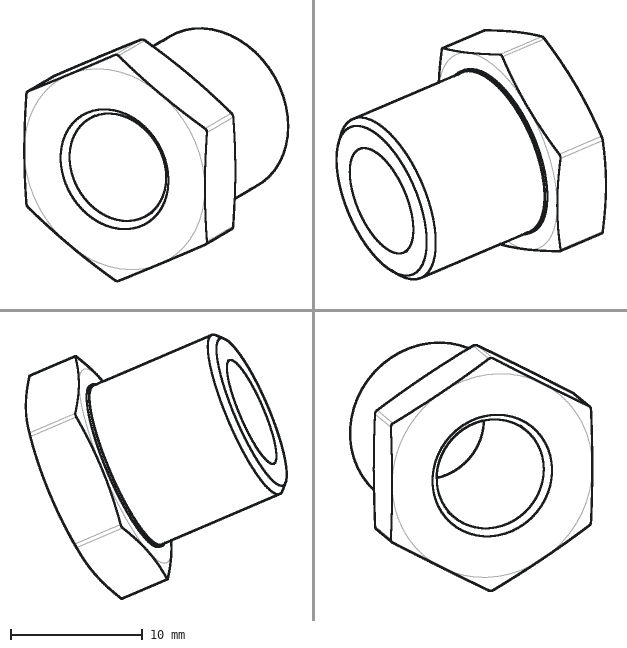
import cadquery as cq
import math

across_flats = 16.0
across_corners = 18.38
head_length = 4.5
head_chamfer_angle = 15.0

collar_diameter = 13.36
collar_length = 0.2
shank_diameter = 13.16
total_length = 15.2
end_chamfer = 0.5

bore_diameter = 8.57
bore_chamfer = 0.5

sharp_corners = across_flats / math.cos(math.radians(30))
corner_trim = (sharp_corners - across_corners) / 2
corner_radius = corner_trim / (1 / math.cos(math.radians(30)) - 1)


def make_head():
    """Hexagon along Y with corners up and down, both ends turned to a shallow cone."""
    prism = (
        cq.Workplane("XZ")
        .transformed(rotate=(0, 0, 90))
        .polygon(6, sharp_corners)
        .extrude(-head_length)
        .edges("|Y")
        .fillet(corner_radius)
    )
    face_radius = across_flats / 2
    rim_radius = sharp_corners / 2
    rim_setback = (rim_radius - face_radius) * math.tan(math.radians(head_chamfer_angle))
    turned_envelope = (
        cq.Workplane("XY")
        .moveTo(0, 0)
        .lineTo(face_radius, 0)
        .lineTo(rim_radius, rim_setback)
        .lineTo(rim_radius, head_length - rim_setback)
        .lineTo(face_radius, head_length)
        .lineTo(0, head_length)
        .close()
        .revolve(360, (0, 0, 0), (0, 1, 0))
    )
    return prism.intersect(turned_envelope)


def make_cylinder(diameter, length):
    """Cylinder along +Y that starts on the head's front face."""
    return cq.Workplane("XZ").circle(diameter / 2).extrude(-length)


def make_bore():
    """Through hole with a conical mouth in the head's front face."""
    bore_radius = bore_diameter / 2
    return (
        cq.Workplane("XY")
        .moveTo(0, 0)
        .lineTo(bore_radius + bore_chamfer, 0)
        .lineTo(bore_radius, bore_chamfer)
        .lineTo(bore_radius, total_length)
        .lineTo(0, total_length)
        .close()
        .revolve(360, (0, 0, 0), (0, 1, 0))
    )


collar = make_cylinder(collar_diameter, head_length + collar_length)
shank = make_cylinder(shank_diameter, total_length).faces(">Y").chamfer(end_chamfer)

result = make_head().union(collar).union(shank).cut(make_bore())